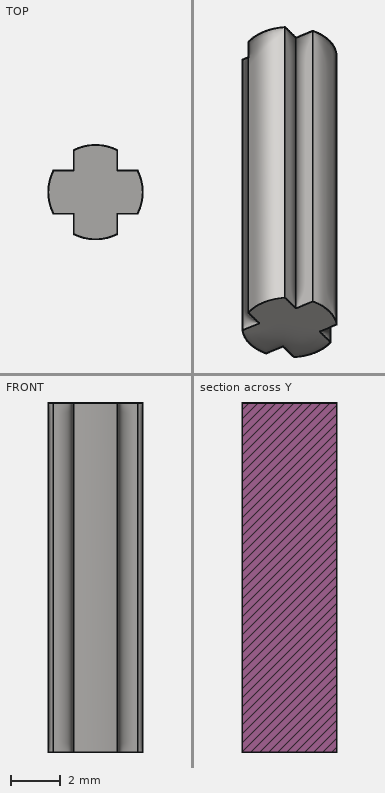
import cadquery as cq

length = 14.0
outer_diameter = 3.8
arm_width = 1.75


def arm(size_x, size_y):
    """Rectangular bar along the full length of the axle."""
    return cq.Workplane("XY").rect(size_x, size_y).extrude(length)


cross = arm(outer_diameter, arm_width).union(arm(arm_width, outer_diameter))
envelope = cq.Workplane("XY").circle(outer_diameter / 2).extrude(length)

result = cross.intersect(envelope)